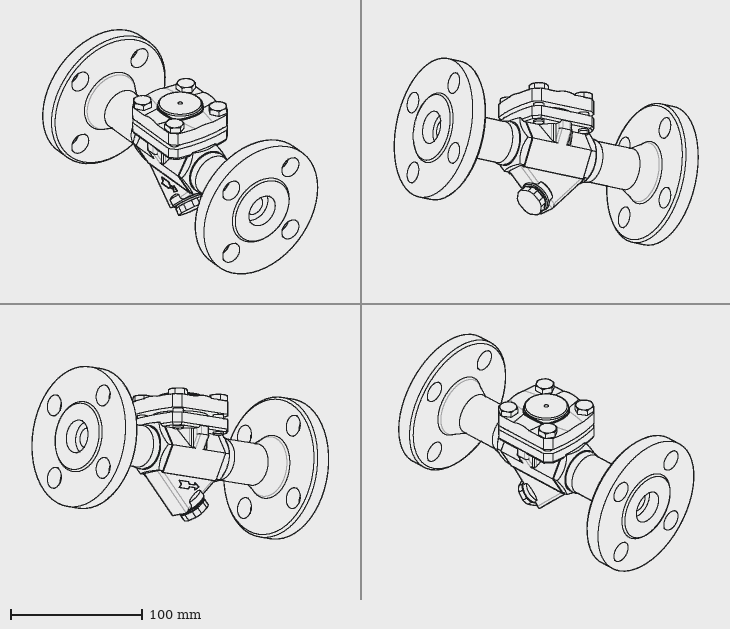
import cadquery as cq
import math


HALF_LENGTH = 105.0
FLANGE_DIAMETER = 108.0
FLANGE_BACK_X = 90.1
FLANGE_CHAMFER = 2.0
RAISED_FACE_HEIGHT = 1.6
RAISED_FACE_RADIUS = 25.5
RAISED_FACE_BASE_RADIUS = 27.0
HUB_ROOT_RADIUS = 24.2
HUB_X = 88.3
HUB_RADIUS = 45.8 / 2
HUB_END_X = 75.3
PIPE_RADIUS = 16.0
WELD_OUTER_X = 41.3
WELD_INNER_X = 35.0
WELD_RADIUS = 34.0 / 2
FLANGE_HOLE_DIAMETER = 16.0
FLANGE_HOLE_COUNT = 4
FLANGE_HOLE_START_ANGLE = 45.0
BOLT_CIRCLE_DIAMETER = 79.4
SOCKET_DIAMETER = 25.0
SOCKET_DEPTH = 9.5
BORE_DIAMETER = 15.0

HEX_HALF_LENGTH = 34.9
HEX_ACROSS_FLATS = 37.2
HEX_END_RADIUS = 17.0
HEX_END_CHAMFER = 3.8
BODY_HALF_LENGTH = 27.6
BODY_CORNER_Y = 22.0
BODY_BOTTOM_Z = -19.9
BODY_BEVEL = 0.8
BORE_END_X = BODY_HALF_LENGTH

BRANCH_TOP_Z = -18.0
BRANCH_LEFT_REACH = 48.4
BRANCH_RIGHT_REACH = 47.3
BRANCH_HALF_THICKNESS = 9.9
BRANCH_EDGE_RADIUS = 2.4

PLUG_AXIS_DROP = 28.3
PLUG_ANGLE = 45.0
BOSS_RADIUS = 25.0 / 2
BOSS_START = 26.9
BOSS_START_RADIUS = 9.5
BOSS_SHOULDER = 28.7
BOSS_ROUND = 3.5
BOSS_BEVEL_START = 33.7
BOSS_END = 34.9
BOSS_END_RADIUS = 12.0
NECK_RADIUS = 21.0 / 2
PLUG_HEAD_START = 36.5
PLUG_HEAD_END = 42.0
PLUG_HEAD_ACROSS_FLATS = 22.0
PLUG_HEAD_CORNER_RADIUS = 11.5
PLUG_HEAD_TURN = 6.0

PLATE_FRONT_Y = 28.0
PLATE_FRONT_HALF_WIDTH = 23.1
PLATE_CORNER_X = 28.3
PLATE_CORNER_Y = 23.1
PLATE_SIDE_X = 30.8
BODY_PLATE_BOTTOM = 15.3
BODY_PLATE_TOP = 25.1
BODY_PLATE_BEVEL_WIDTH = 1.1
BODY_PLATE_BEVEL_HEIGHT = 2.0
COVER_BOTTOM = 28.8
COVER_TOP = 39.2
GASKET_DIAMETER = 42.0

CAP_DIAMETER = 34.0
CAP_FOOT = 0.7
CAP_TOP = 43.9
CAP_CHAMFER = 1.0
NUB_RADIUS = 1.6
NUB_HEIGHT = 1.3
Y_RIB_ARC_RADIUS = 22.0
Y_RIB_EDGE_RISE = 1.5
Y_RIB_CAP_RISE = 2.2
X_RIB_ARC_RADIUS = 40.0
X_RIB_EDGE_RISE = 0.8
X_RIB_CAP_RISE = 1.5

BOLT_PITCH_X = 20.5
BOLT_PITCH_Y = 20.6
BOLT_PLACES = ((-1, 1, 0), (1, 1, 30), (-1, -1, 30), (1, -1, 0))
BOLT_DIAMETER = 8.0
BOLT_TIP_Z = 13.9
BOLT_HEAD_ACROSS_FLATS = 13.0
BOLT_HEAD_CHAMFER_ANGLE = 30.0

LUG_HALF_WIDTH = 5.5
LUG_RIB_EDGE_RADIUS = 1.6
LUG_TOP_Z = 17.0
LUG_EDGE_RADIUS = 2.4
BUTTRESS_FRONT_Y = 21.6
BUTTRESS_FRONT_HALF_WIDTH = 7.6
BUTTRESS_CORNER_Y = 20.6
BUTTRESS_CORNER_HALF_WIDTH = 9.0
BUTTRESS_BACK_Y = 13.0
BUTTRESS_BACK_HALF_WIDTH = 15.5

ARROW_Z = -26.7
ARROW_HEIGHT = 0.6
ARROW_TAIL_X = -10.0
ARROW_NOTCH = 2.0
ARROW_SHAFT_X = 0.2
ARROW_HEAD_X = 5.7
ARROW_TIP_X = 10.0
ARROW_HALF_WIDTH = 2.8
ARROW_SHAFT_HALF_WIDTH = 1.0

COS30 = math.cos(math.radians(30))
TAN30 = math.tan(math.radians(30))


def hexagon(x, y, across_flats, turn=0.0):
    """Regular hexagon as a list of points; the first corner lies at angle turn."""
    radius = across_flats / 2 / COS30
    angles = [math.radians(turn + 60 * i) for i in range(6)]
    return [(x + radius * math.cos(a), y + radius * math.sin(a)) for a in angles]


def both_y_sides(shape):
    return shape.union(shape.mirror("XZ"))


def pipe_end():
    """Flange, hub, pipe and weld bead on the -X side."""
    flange_radius = FLANGE_DIAMETER / 2
    flange_face_x = HALF_LENGTH - RAISED_FACE_HEIGHT
    weld_middle_x = (WELD_OUTER_X + WELD_INNER_X) / 2
    profile = (
        cq.Workplane("XY")
        .moveTo(-HALF_LENGTH, 0)
        .lineTo(-HALF_LENGTH, RAISED_FACE_RADIUS)
        .lineTo(-flange_face_x, RAISED_FACE_BASE_RADIUS)
        .lineTo(-flange_face_x, flange_radius)
        .lineTo(-FLANGE_BACK_X - FLANGE_CHAMFER, flange_radius)
        .lineTo(-FLANGE_BACK_X, flange_radius - FLANGE_CHAMFER)
        .lineTo(-FLANGE_BACK_X, HUB_ROOT_RADIUS)
        .lineTo(-HUB_X, HUB_RADIUS)
        .lineTo(-HUB_END_X, PIPE_RADIUS)
        .lineTo(-WELD_OUTER_X, PIPE_RADIUS)
        .threePointArc((-weld_middle_x, WELD_RADIUS), (-WELD_INNER_X, PIPE_RADIUS))
        .lineTo(-BODY_HALF_LENGTH, PIPE_RADIUS)
        .lineTo(-BODY_HALF_LENGTH, 0)
        .close()
    )
    solid = profile.revolve(360, (0, 0, 0), (1, 0, 0))
    holes = (
        cq.Workplane("YZ", origin=(-HALF_LENGTH, 0, 0))
        .polarArray(BOLT_CIRCLE_DIAMETER / 2, FLANGE_HOLE_START_ANGLE, 360, FLANGE_HOLE_COUNT)
        .circle(FLANGE_HOLE_DIAMETER / 2)
        .extrude(HALF_LENGTH - FLANGE_BACK_X)
    )
    return solid.cut(holes)


def hex_body():
    """Hexagonal bar along X with turned-down ends."""
    bar = (
        cq.Workplane("YZ", origin=(-HEX_HALF_LENGTH, 0, 0))
        .polyline(hexagon(0, 0, HEX_ACROSS_FLATS))
        .close()
        .extrude(2 * HEX_HALF_LENGTH)
    )
    corner_radius = HEX_ACROSS_FLATS / 2 / COS30
    shoulder_x = HEX_HALF_LENGTH - HEX_END_CHAMFER
    envelope = (
        cq.Workplane("XY")
        .moveTo(-HEX_HALF_LENGTH, 0)
        .lineTo(-HEX_HALF_LENGTH, HEX_END_RADIUS)
        .lineTo(-shoulder_x, corner_radius)
        .lineTo(shoulder_x, corner_radius)
        .lineTo(HEX_HALF_LENGTH, HEX_END_RADIUS)
        .lineTo(HEX_HALF_LENGTH, 0)
        .close()
        .revolve(360, (0, 0, 0), (1, 0, 0))
    )
    return bar.intersect(envelope)


def body_slope_y(z):
    """Half depth in Y of the lower sloping body faces, continued to any height."""
    return BODY_CORNER_Y + z * TAN30


def center_body():
    """Slightly larger six-sided block between the hexagonal ends."""
    top_z = BODY_PLATE_BOTTOM + BODY_PLATE_BEVEL_HEIGHT
    top_y = body_slope_y(-top_z)
    bottom_y = body_slope_y(BODY_BOTTOM_Z)
    half = [(top_y, top_z), (BODY_CORNER_Y, 0), (bottom_y, BODY_BOTTOM_Z)]
    outline = half + [(-y, z) for y, z in reversed(half)]
    block = (
        cq.Workplane("YZ", origin=(-BODY_HALF_LENGTH, 0, 0))
        .polyline(outline)
        .close()
        .extrude(2 * BODY_HALF_LENGTH)
    )
    return block.faces("<X or >X").chamfer(BODY_BEVEL)


def branch():
    """V-shaped strainer housing with rounded sloping edges."""
    tip_x = (BRANCH_RIGHT_REACH - BRANCH_LEFT_REACH) / 2
    tip_z = -(BRANCH_RIGHT_REACH + BRANCH_LEFT_REACH) / 2
    housing = (
        cq.Workplane("XZ", origin=(0, BRANCH_HALF_THICKNESS, 0))
        .moveTo(-BRANCH_LEFT_REACH - BRANCH_TOP_Z, BRANCH_TOP_Z)
        .lineTo(tip_x, tip_z)
        .lineTo(BRANCH_RIGHT_REACH + BRANCH_TOP_Z, BRANCH_TOP_Z)
        .close()
        .extrude(2 * BRANCH_HALF_THICKNESS)
    )
    return housing.faces("<Y or >Y").edges("not #Z").fillet(BRANCH_EDGE_RADIUS)


def plug():
    """Boss, neck and round-cornered hexagonal head of the strainer plug."""
    turned = (
        cq.Workplane("XY")
        .moveTo(0, BOSS_START)
        .lineTo(BOSS_START_RADIUS, BOSS_START)
        .radiusArc((BOSS_RADIUS, BOSS_SHOULDER), -BOSS_ROUND)
        .lineTo(BOSS_RADIUS, BOSS_BEVEL_START)
        .lineTo(BOSS_END_RADIUS, BOSS_END)
        .lineTo(NECK_RADIUS, BOSS_END)
        .lineTo(NECK_RADIUS, PLUG_HEAD_START)
        .lineTo(0, PLUG_HEAD_START)
        .close()
        .revolve(360, (0, 0, 0), (0, 1, 0))
        .rotate((0, 0, 0), (1, 0, 0), 90)
    )
    head = (
        cq.Workplane("XY", origin=(0, 0, PLUG_HEAD_START))
        .polyline(hexagon(0, 0, PLUG_HEAD_ACROSS_FLATS, PLUG_HEAD_TURN))
        .close()
        .extrude(PLUG_HEAD_END - PLUG_HEAD_START)
    )
    corner_round = (
        cq.Workplane("XY", origin=(0, 0, PLUG_HEAD_START))
        .circle(PLUG_HEAD_CORNER_RADIUS)
        .extrude(PLUG_HEAD_END - PLUG_HEAD_START)
    )
    axis_offset = -PLUG_AXIS_DROP / 2
    return (
        turned.union(head.intersect(corner_round))
        .rotate((0, 0, 0), (0, 1, 0), 90 + PLUG_ANGLE)
        .translate((axis_offset, 0, axis_offset))
    )


def plate(bottom_z, top_z):
    """Square flange with clipped corners and bowed X sides."""
    return (
        cq.Workplane("XY", origin=(0, 0, bottom_z))
        .moveTo(-PLATE_FRONT_HALF_WIDTH, -PLATE_FRONT_Y)
        .lineTo(PLATE_FRONT_HALF_WIDTH, -PLATE_FRONT_Y)
        .lineTo(PLATE_CORNER_X, -PLATE_CORNER_Y)
        .threePointArc((PLATE_SIDE_X, 0), (PLATE_CORNER_X, PLATE_CORNER_Y))
        .lineTo(PLATE_FRONT_HALF_WIDTH, PLATE_FRONT_Y)
        .lineTo(-PLATE_FRONT_HALF_WIDTH, PLATE_FRONT_Y)
        .lineTo(-PLATE_CORNER_X, PLATE_CORNER_Y)
        .threePointArc((-PLATE_SIDE_X, 0), (-PLATE_CORNER_X, -PLATE_CORNER_Y))
        .close()
        .extrude(top_z - bottom_z)
    )


def body_plate():
    slab = plate(BODY_PLATE_BOTTOM, BODY_PLATE_TOP)
    return slab.faces("<Z").chamfer(BODY_PLATE_BEVEL_HEIGHT, BODY_PLATE_BEVEL_WIDTH)


def rib_bar(arc_radius, edge_reach, edge_rise, cap_rise):
    """Cylinder along +X whose back climbs from the cover edge to the cap."""
    cap_radius = CAP_DIAMETER / 2
    slope = math.atan2(cap_rise - edge_rise, edge_reach - cap_radius)
    top_z = COVER_TOP + cap_rise + cap_radius * math.tan(slope)
    return (
        cq.Workplane("YZ")
        .circle(arc_radius)
        .extrude(2 * edge_reach)
        .rotate((0, 0, 0), (0, 1, 0), math.degrees(slope))
        .translate((0, 0, top_z - arc_radius / math.cos(slope)))
    )


def cover_ribs():
    """Four round-backed ribs, one from each edge of the cover to the cap."""
    x_bar = rib_bar(X_RIB_ARC_RADIUS, PLATE_SIDE_X, X_RIB_EDGE_RISE, X_RIB_CAP_RISE)
    y_bar = rib_bar(Y_RIB_ARC_RADIUS, PLATE_FRONT_Y, Y_RIB_EDGE_RISE, Y_RIB_CAP_RISE)
    y_bar = y_bar.rotate((0, 0, 0), (0, 0, 1), 90)
    space = plate(COVER_TOP, CAP_TOP)
    x_ribs = space.intersect(x_bar.union(x_bar.mirror("YZ")))
    y_ribs = space.intersect(both_y_sides(y_bar))
    return x_ribs.union(y_ribs)


def cover():
    """Cover plate with ribs, central cap, center nub and gasket ring below."""
    cap_radius = CAP_DIAMETER / 2
    ribs = cover_ribs()
    cap_base = cq.Workplane("XY", origin=(0, 0, COVER_TOP))
    cap = cap_base.circle(cap_radius).extrude(CAP_TOP - COVER_TOP).faces(">Z").chamfer(CAP_CHAMFER)
    foot_radius = cap_radius + CAP_FOOT
    foot_space = cap_base.circle(foot_radius).extrude(CAP_TOP - COVER_TOP)
    foot = ribs.translate((0, 0, CAP_FOOT)).intersect(foot_space)
    foot = foot.union(cap_base.circle(foot_radius).extrude(CAP_FOOT))
    nub = (
        cq.Workplane("XZ", origin=(0, 0, CAP_TOP))
        .lineTo(NUB_RADIUS, 0)
        .lineTo(0, NUB_HEIGHT)
        .close()
        .revolve(360, (0, 0, 0), (0, 1, 0))
    )
    gasket = (
        cq.Workplane("XY", origin=(0, 0, BODY_PLATE_TOP))
        .circle(GASKET_DIAMETER / 2)
        .extrude(COVER_BOTTOM - BODY_PLATE_TOP)
    )
    slab = plate(COVER_BOTTOM, COVER_TOP)
    return slab.union(ribs).union(foot).union(cap).union(nub).union(gasket)


def cover_bolt(x, y, turn):
    shank = (
        cq.Workplane("XY", origin=(x, y, BOLT_TIP_Z))
        .circle(BOLT_DIAMETER / 2)
        .extrude(COVER_TOP - BOLT_TIP_Z)
    )
    head = (
        cq.Workplane("XY", origin=(0, 0, COVER_TOP))
        .polyline(hexagon(x, y, BOLT_HEAD_ACROSS_FLATS, turn))
        .close()
        .extrude(CAP_TOP - COVER_TOP)
    )
    top_radius = BOLT_HEAD_ACROSS_FLATS / 2
    rim_radius = BOLT_HEAD_ACROSS_FLATS
    rim_drop = (rim_radius - top_radius) * math.tan(math.radians(BOLT_HEAD_CHAMFER_ANGLE))
    chamfer_cone = (
        cq.Workplane("XZ")
        .moveTo(0, CAP_TOP)
        .lineTo(top_radius, CAP_TOP)
        .lineTo(rim_radius, CAP_TOP - rim_drop)
        .lineTo(rim_radius, COVER_TOP)
        .lineTo(0, COVER_TOP)
        .close()
        .revolve(360, (0, 0, 0), (0, 1, 0))
        .translate((x, y, 0))
    )
    return shank.union(head.intersect(chamfer_cone))


def lug():
    """Rounded block under the front of the body plate, on a rib with a sloping front."""
    slope_top_z = (PLATE_FRONT_Y - BODY_CORNER_Y) / TAN30
    block = (
        cq.Workplane("XY", origin=(0, 0, slope_top_z))
        .rect(2 * LUG_HALF_WIDTH, 2 * PLATE_FRONT_Y)
        .extrude(LUG_TOP_Z - slope_top_z)
        .edges("|Z")
        .fillet(LUG_EDGE_RADIUS)
    )
    rib = (
        cq.Workplane("YZ", origin=(-LUG_HALF_WIDTH, 0, 0))
        .polyline([(0, 0), (-BODY_CORNER_Y, 0), (-PLATE_FRONT_Y, slope_top_z), (0, slope_top_z)])
        .close()
        .extrude(2 * LUG_HALF_WIDTH)
    )
    rib = rib.edges("not (|X or |Y or |Z)").fillet(LUG_RIB_EDGE_RADIUS)
    return block.union(both_y_sides(rib))


def buttress():
    """Flared web joining the lug, the sloping body face and the plate."""
    right_side = [
        (BUTTRESS_FRONT_HALF_WIDTH, -BUTTRESS_FRONT_Y),
        (BUTTRESS_CORNER_HALF_WIDTH, -BUTTRESS_CORNER_Y),
        (BUTTRESS_BACK_HALF_WIDTH, -BUTTRESS_BACK_Y),
        (BUTTRESS_BACK_HALF_WIDTH, 0),
    ]
    left_side = [(-x, y) for x, y in reversed(right_side)]
    web = cq.Workplane("XY").polyline(right_side + left_side).close().extrude(LUG_TOP_Z)
    return both_y_sides(web)


def flow_arrow():
    """Flow direction arrow pointing to +X."""
    upper = [
        (ARROW_TAIL_X, ARROW_HALF_WIDTH),
        (ARROW_SHAFT_X - ARROW_SHAFT_HALF_WIDTH, ARROW_HALF_WIDTH),
        (ARROW_SHAFT_X, ARROW_SHAFT_HALF_WIDTH),
        (ARROW_HEAD_X, ARROW_SHAFT_HALF_WIDTH),
        (ARROW_HEAD_X, ARROW_HALF_WIDTH),
        (ARROW_TIP_X, 0),
    ]
    lower = [(x, -z) for x, z in reversed(upper[:-1])]
    outline = upper + lower + [(ARROW_TAIL_X + ARROW_NOTCH, 0)]
    return (
        cq.Workplane("XZ", origin=(0, -BRANCH_HALF_THICKNESS, ARROW_Z))
        .polyline(outline)
        .close()
        .extrude(ARROW_HEIGHT)
    )


def end_bore():
    """Blind bore with a larger socket at its mouth, on the -X side."""
    mouth = cq.Workplane("YZ", origin=(-HALF_LENGTH, 0, 0))
    bore = mouth.circle(BORE_DIAMETER / 2).extrude(HALF_LENGTH - BORE_END_X)
    return bore.union(mouth.circle(SOCKET_DIAMETER / 2).extrude(SOCKET_DEPTH))


left_end = pipe_end()
left_bore = end_bore()
part = hex_body().union(center_body()).union(branch()).union(plug())
part = part.union(left_end).union(left_end.mirror("YZ"))
part = part.union(body_plate()).union(lug()).union(buttress()).union(cover())
for x_side, y_side, head_turn in BOLT_PLACES:
    part = part.union(cover_bolt(x_side * BOLT_PITCH_X, y_side * BOLT_PITCH_Y, head_turn))
part = part.union(flow_arrow())
result = part.cut(left_bore).cut(left_bore.mirror("YZ"))